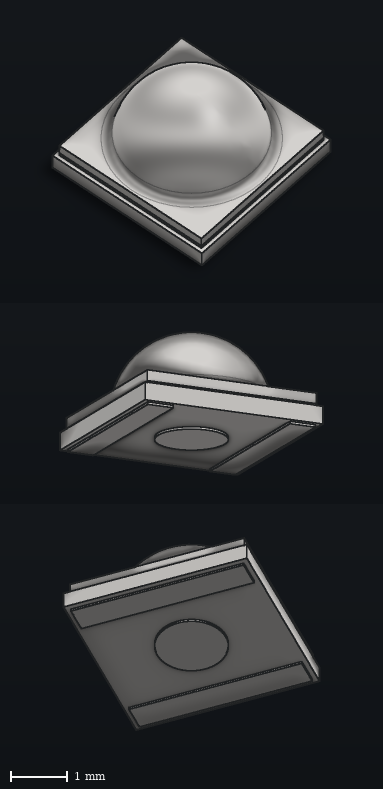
import cadquery as cq
import math

base_side = 3.5
base_thickness = 0.33
total_height = 1.93

plinth_side = 3.325
plinth_height = 0.06
flange_thickness = 0.2

dome_radius = 1.45
dome_fillet_radius = 0.2

pad_thickness = 0.045
side_pad_length = 3.297
side_pad_width = 0.5
thermal_pad_diameter = 1.31

base_bottom = pad_thickness
base_top = base_bottom + base_thickness
plinth_top = base_top + plinth_height
flange_top = plinth_top + flange_thickness
dome_center_z = total_height - dome_radius

side_pad_offset = (side_pad_length - side_pad_width) / 2


def square_plate(side, thickness, bottom):
    """Square plate centered on the Z axis."""
    return cq.Workplane("XY").workplane(offset=bottom).rect(side, side).extrude(thickness)


def make_base():
    """Substrate with the low plinth that carries the lens."""
    substrate = square_plate(base_side, base_thickness, base_bottom)
    plinth = square_plate(plinth_side, plinth_height, base_top)
    return substrate.union(plinth)


def make_lens():
    """Square flange and a spherical dome joined by a tangent concave fillet."""
    fillet_center_z = flange_top + dome_fillet_radius
    center_distance = dome_radius + dome_fillet_radius
    center_rise = fillet_center_z - dome_center_z
    fillet_center_r = math.sqrt(center_distance**2 - center_rise**2)
    rise_angle = math.asin(center_rise / center_distance)

    def dome_point(angle):
        return (dome_radius * math.cos(angle), dome_center_z + dome_radius * math.sin(angle))

    fillet_mid_angle = (math.radians(270) + math.pi + rise_angle) / 2
    fillet_mid = (
        fillet_center_r + dome_fillet_radius * math.cos(fillet_mid_angle),
        fillet_center_z + dome_fillet_radius * math.sin(fillet_mid_angle),
    )
    dome_mid_angle = (rise_angle + math.pi / 2) / 2

    dome = (
        cq.Workplane("XZ")
        .moveTo(0, plinth_top)
        .lineTo(fillet_center_r, plinth_top)
        .lineTo(fillet_center_r, flange_top)
        .threePointArc(fillet_mid, dome_point(rise_angle))
        .threePointArc(dome_point(dome_mid_angle), (0, total_height))
        .close()
        .revolve(360, (0, 0, 0), (0, 1, 0))
    )
    flange = square_plate(plinth_side, flange_thickness, plinth_top)
    return flange.union(dome)


def make_side_pad(y_center):
    """Rectangular contact pad running along X."""
    return (
        cq.Workplane("XY")
        .center(0, y_center)
        .rect(side_pad_length, side_pad_width)
        .extrude(pad_thickness)
    )


def make_thermal_pad():
    """Round pad under the middle of the base."""
    return cq.Workplane("XY").circle(thermal_pad_diameter / 2).extrude(pad_thickness)


base = make_base()
lens = make_lens()
thermal_pad = make_thermal_pad()
side_pads = [make_side_pad(side * side_pad_offset) for side in (-1, 1)]

result = cq.Compound.makeCompound(
    [base.val(), lens.val(), thermal_pad.val(), *[pad.val() for pad in side_pads]]
)